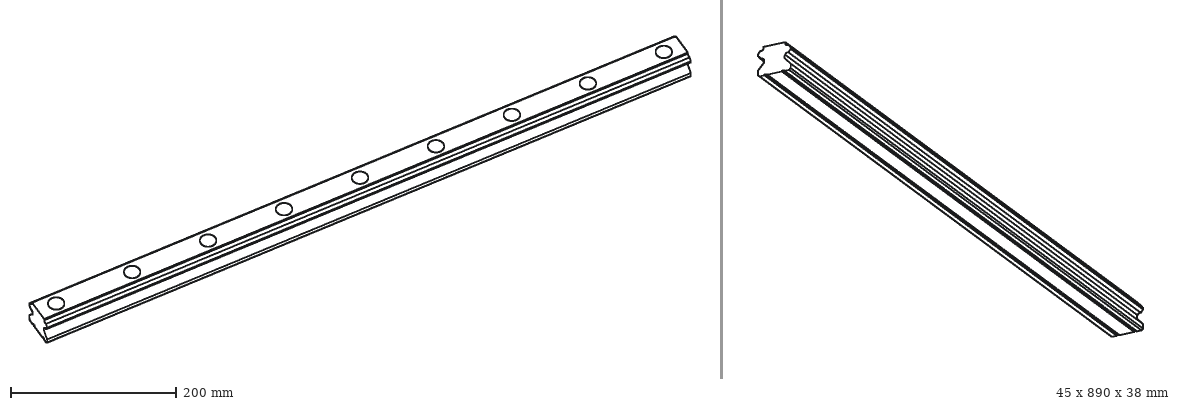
import cadquery as cq
import math

LENGTH = 890.0
WIDTH = 45.0
HEIGHT = 38.0

HALF_WIDTH = WIDTH / 2
CROWN_HALF_WIDTH = 15.0
FOOT_TOP_HEIGHT = 8.0
NECK_BOTTOM_HEIGHT = 16.0
BASE_CHAMFER = 2.0

HEAD_MIDDLE_HEIGHT = 28.4
SIDE_FACE_RISE = 1.0
SHOULDER_HALF_WIDTH = 19.5
SHOULDER_RISE = 5.0
RACEWAY_RISE = 7.2
RACEWAY_RADIUS = 3.5

GROOVE_OFFSET = 12.0
GROOVE_WIDTH = 3.0
GROOVE_DEPTH = 1.0

HOLE_COUNT = 9
HOLE_PITCH = 105.0
HOLE_DIAMETER = 20.0
HOLE_DEPTH = 0.5


def half_section():
    """Right half of the rail section, from the crown down to the base."""
    raceway_top = HEAD_MIDDLE_HEIGHT + RACEWAY_RISE
    raceway_bottom = HEAD_MIDDLE_HEIGHT - RACEWAY_RISE
    foot_slope_angle = math.atan2(HALF_WIDTH - CROWN_HALF_WIDTH, NECK_BOTTOM_HEIGHT - FOOT_TOP_HEIGHT)
    neck_radius = (raceway_bottom - NECK_BOTTOM_HEIGHT) / (2 * math.sin(foot_slope_angle))
    return (
        cq.Workplane("XZ")
        .moveTo(0, HEIGHT)
        .lineTo(CROWN_HALF_WIDTH, HEIGHT)
        .lineTo(CROWN_HALF_WIDTH, raceway_top)
        .radiusArc((SHOULDER_HALF_WIDTH, HEAD_MIDDLE_HEIGHT + SHOULDER_RISE), -RACEWAY_RADIUS)
        .lineTo(HALF_WIDTH, HEAD_MIDDLE_HEIGHT + SIDE_FACE_RISE)
        .lineTo(HALF_WIDTH, HEAD_MIDDLE_HEIGHT - SIDE_FACE_RISE)
        .lineTo(SHOULDER_HALF_WIDTH, HEAD_MIDDLE_HEIGHT - SHOULDER_RISE)
        .radiusArc((CROWN_HALF_WIDTH, raceway_bottom), -RACEWAY_RADIUS)
        .radiusArc((CROWN_HALF_WIDTH, NECK_BOTTOM_HEIGHT), -neck_radius)
        .lineTo(HALF_WIDTH, FOOT_TOP_HEIGHT)
        .lineTo(HALF_WIDTH, BASE_CHAMFER)
        .lineTo(HALF_WIDTH - BASE_CHAMFER, 0)
        .lineTo(0, 0)
        .close()
    )


def rail_body():
    """Extrude the half section along Y and mirror it about the centre plane."""
    half = half_section().extrude(LENGTH / 2, both=True)
    return half.union(half.mirror("YZ"))


def base_grooves():
    """Two rectangular grooves running the full length of the underside."""
    return (
        cq.Workplane("XY")
        .pushPoints([(-GROOVE_OFFSET, 0), (GROOVE_OFFSET, 0)])
        .rect(GROOVE_WIDTH, LENGTH)
        .extrude(GROOVE_DEPTH)
    )


def bolt_recesses():
    """Evenly spaced round recesses along the centre line of the crown."""
    return (
        cq.Workplane("XY", origin=(0, 0, HEIGHT - HOLE_DEPTH))
        .rarray(1, HOLE_PITCH, 1, HOLE_COUNT)
        .circle(HOLE_DIAMETER / 2)
        .extrude(HOLE_DEPTH)
    )


result = rail_body().cut(base_grooves()).cut(bolt_recesses())